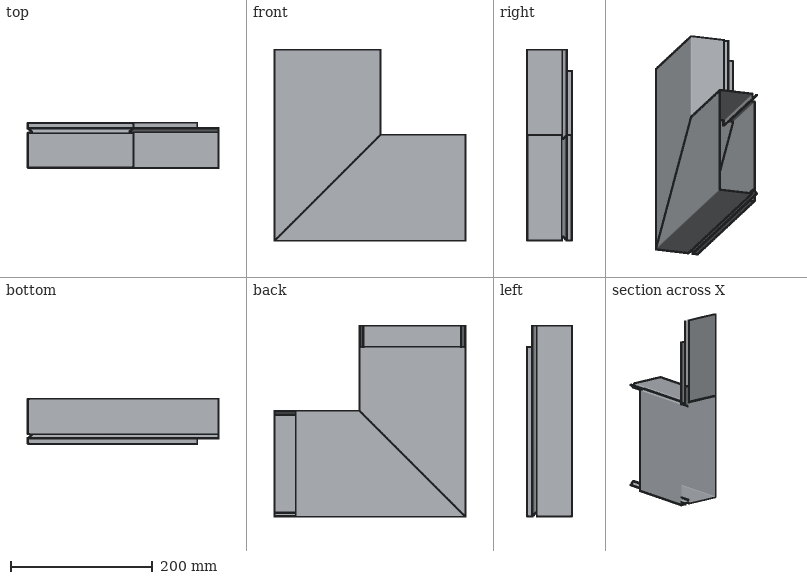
import cadquery as cq
import math


arm_length = 270.0
arm_width = 150.0
depth = 64.0
base_setback = 30.0
sheet = 0.95
bend_inside = 0.8
bend_outside = 1.48

lip_edge_level = 7.3
base_edge_level = 8.6
shoulder_level = 13.8
groove_tip = 6.5

base_length = arm_length - base_setback
tolerance = 0.0003


def offset_point(before, corner, after):
    """Point one sheet thickness left of both path legs at a corner, and the turn there."""
    heading_in = math.atan2(corner[1] - before[1], corner[0] - before[0])
    heading_out = math.atan2(after[1] - corner[1], after[0] - corner[0])
    turn = math.remainder(heading_out - heading_in, math.tau)
    direction = heading_in + turn / 2 + math.pi / 2
    reach = sheet / math.cos(turn / 2)
    point = (corner[0] + reach * math.cos(direction), corner[1] + reach * math.sin(direction))
    return point, turn


def straight_on(before, end):
    """Point that continues a path leg past its end by the leg's own length."""
    return (2 * end[0] - before[0], 2 * end[1] - before[1])


def round_corners(face, points, radius):
    """Round the corners of a flat face that lie at the given points."""
    corners = []
    for vertex in face.Vertices():
        if any(math.dist((vertex.X, vertex.Y), point) < tolerance for point in points):
            corners.append(vertex)
    return face.fillet2D(radius, corners)


def bent_sheet(outer_path, bends, length):
    """Sheet with its outer side on an open path in XY, rounded at the bends, extruded along Z."""
    first_ahead = straight_on(outer_path[1], outer_path[0])
    last_ahead = straight_on(outer_path[-2], outer_path[-1])
    padded = [first_ahead, *outer_path, last_ahead]
    inner_path = []
    convex_corners = []
    concave_corners = []
    for before, corner, after in zip(padded, outer_path, padded[2:]):
        inner, turn = offset_point(before, corner, after)
        inner_path.append(inner)
        if corner in bends:
            convex_corners.append(corner if turn > 0 else inner)
            concave_corners.append(inner if turn > 0 else corner)

    outline = [cq.Vector(x, y) for x, y in outer_path + inner_path[::-1]]
    face = cq.Face.makeFromWires(cq.Wire.makePolygon(outline, close=True))
    face = round_corners(face, convex_corners, bend_outside)
    face = round_corners(face, concave_corners, bend_inside)
    return cq.Workplane(cq.Solid.extrudeLinear(face, cq.Vector(0, 0, length)))


def opposite(path):
    """The same path on the opposite side wall, in reverse order."""
    return [(arm_width - x, y) for x, y in reversed(path)]


def mitre(arm):
    """Cut the lower end of an upright arm along the plane X = Z."""
    below = (
        cq.Workplane("XZ")
        .polyline([(0, 0), (arm_width, 0), (arm_width, arm_width)])
        .close()
        .extrude(-depth)
    )
    return arm.cut(below)


def lay_down(upright_arm):
    """Matching arm along X: the upright arm reflected in the plane X = Z."""
    return upright_arm.mirror("YZ").rotate((0, 0, 0), (0, 1, 0), 90)


def upright_cover():
    bent_corners = [(groove_tip, depth - shoulder_level), (0, depth - shoulder_level), (0, 0)]
    lip = [(sheet, depth - lip_edge_level), (sheet, depth - base_edge_level)]
    wall = lip + bent_corners
    bends = bent_corners + opposite(bent_corners)
    return mitre(bent_sheet(wall + opposite(wall), bends, arm_length))


def upright_base():
    wall = [(0, depth), (0, depth - base_edge_level)]
    bent_corners = [wall[0], (arm_width, depth)]
    return mitre(bent_sheet(opposite(wall) + wall, bent_corners, base_length))


cover_upright = upright_cover()
cover_level = lay_down(cover_upright)
base_upright = upright_base()
base_level = lay_down(base_upright)

result = cq.Compound.makeCompound(
    [cover_upright.val(), cover_level.val(), base_upright.val(), base_level.val()]
)